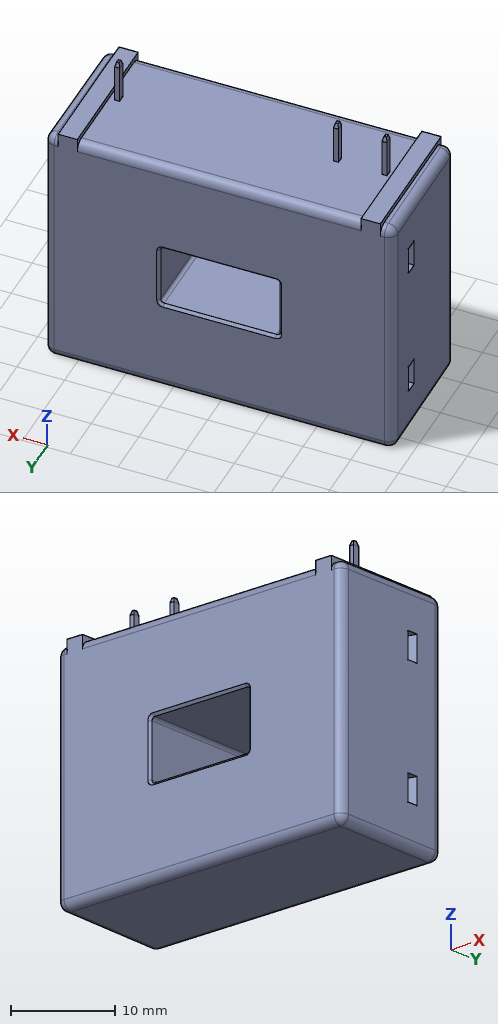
import cadquery as cq

case_width = 36.58
case_depth = 14.5
case_height = 27.25
draft_inset = 0.09
case_fillet = 1.0

rail_width = 2.0
rail_height = 0.5
rail_center_x = 15.88

window_width = 12.5
window_height = 6.85
window_center_z = 13.68
window_corner_radius = 0.35
window_chamfer = 0.3

slot_depth = 1.0
slot_width_y = 1.3
slot_wall_slant = 0.25
slot_height = 3.0
slot_center_y = 10.25
slot_centers_z = (6.33, 20.95)

pin_width_x = 0.5
pin_width_y = 0.75
pin_top_z = 31.85
pin_tip_length = 0.5
pin_tip_scale = 0.5
pin_y = 6.6
pin_centers_x = (-14.0, -8.93, 14.0)


def side_section(y, inset):
    """Rectangle of the case at depth y, drawn in at the sides and the bottom."""
    half_width = case_width / 2 - inset
    return cq.Wire.makePolygon(
        [
            cq.Vector(-half_width, y, inset),
            cq.Vector(half_width, y, inset),
            cq.Vector(half_width, y, case_height),
            cq.Vector(-half_width, y, case_height),
        ],
        close=True,
    )


def make_case():
    rear_growth = draft_inset * case_fillet / (case_depth - case_fillet)
    sections = [side_section(0, draft_inset), side_section(case_depth, -rear_growth)]
    return cq.Workplane(cq.Solid.makeLoft(sections, True)).edges().fillet(case_fillet)


def make_rail(center_x):
    height = rail_height + case_fillet
    return (
        cq.Workplane("XY")
        .box(rail_width, case_depth, height, centered=(True, False, False))
        .translate((center_x, 0, case_height - case_fillet))
    )


def make_window():
    return (
        cq.Workplane("XY")
        .box(window_width, case_depth, window_height, centered=(True, False, True))
        .edges("|Y")
        .fillet(window_corner_radius)
        .translate((0, 0, window_center_z))
    )


def make_slot(side, center_z):
    front_y = slot_center_y - slot_width_y / 2
    rear_y = slot_center_y + slot_width_y / 2
    outline = [
        (-slot_depth, front_y),
        (slot_depth, front_y),
        (slot_depth, rear_y - slot_wall_slant),
        (0, rear_y),
        (-slot_depth, rear_y),
    ]
    points = [(side * (case_width / 2 - inward), y) for inward, y in outline]
    return (
        cq.Workplane("XY", origin=(0, 0, center_z - slot_height / 2))
        .polyline(points)
        .close()
        .extrude(slot_height)
    )


def make_pin(center_x):
    shank_top = pin_top_z - pin_tip_length
    shank = (
        cq.Workplane("XY", origin=(center_x, pin_y, case_height - case_fillet))
        .rect(pin_width_x, pin_width_y)
        .extrude(shank_top - case_height + case_fillet)
    )
    tip = (
        cq.Workplane("XY", origin=(center_x, pin_y, shank_top))
        .rect(pin_width_x, pin_width_y)
        .workplane(offset=pin_tip_length)
        .rect(pin_width_x * pin_tip_scale, pin_width_y * pin_tip_scale)
        .loft(ruled=True)
    )
    return shank.union(tip)


result = make_case()

for side in (-1, 1):
    result = result.union(make_rail(side * rail_center_x))
    for slot_z in slot_centers_z:
        result = result.cut(make_slot(side, slot_z))

result = result.cut(make_window())
window_rim = cq.selectors.BoxSelector(
    (-window_width, -0.35, window_center_z - window_height),
    (window_width, case_depth + 0.35, window_center_z + window_height),
)
result = result.faces("<Y or >Y").edges(window_rim).chamfer(window_chamfer)

for pin_x in pin_centers_x:
    result = result.union(make_pin(pin_x))